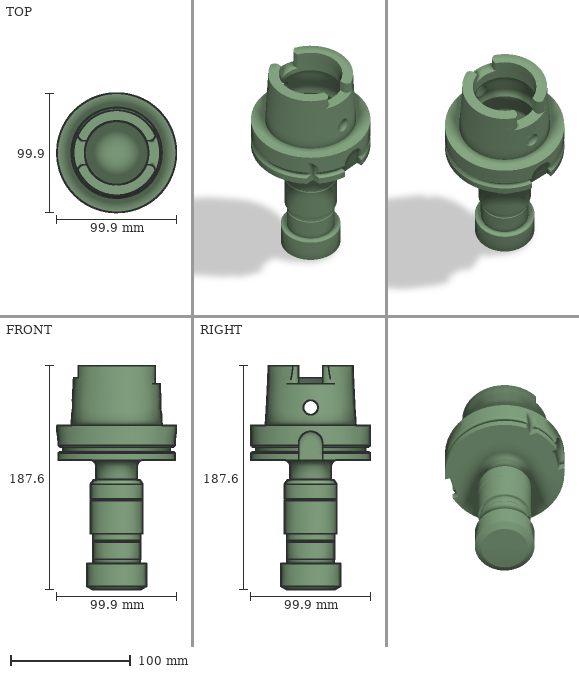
import cadquery as cq
import math


shank_length = 50.0
shank_base_radius = 38.0
shank_taper = 0.05
shank_tip_radius = shank_base_radius - shank_taper * shank_length

mouth_radius = 53.06 / 2
mouth_depth = 19.5
chamber_radius = 63.09 / 2
shoulder_angle = 60.0
floor_radius = 25.0
floor_fillet = 2.0
well_radius = floor_radius + floor_fillet
bore_floor = -12.0
ledge_fillet_top = 9.9
cross_hole_diameter = 12.0
cross_hole_height = 15.0

drive_slot_width = 20.0
drive_slot_corner_radius = 5.0
drive_slot_rim_radius = 36.15
shallow_slot_depth = 10.0
deep_slot_depth = 15.0

flange_radius = 99.93 / 2
flange_thickness = 29.0
groove_radius = 46.0
groove_top = -18.1
groove_bottom = -22.0
groove_upper_chamfer_height = 1.6
groove_lower_chamfer_height = 1.1
groove_chamfer_width = 1.6

keyway_width = 20.0
keyway_top = -5.0
keyway_floor = 44.0
notch_floor = 31.9
notch_center_y = 41.2

neck_radius = 34.6 / 2
neck_fillet = 5.0
neck_bottom = -45.0
undercut_radius = 33.92 / 2
collar_radius = 44.0 / 2
collar_top = -45.6
collar_chamfer_width = 2.5
collar_chamfer_height = 3.6
collar_groove_top = -61.4
collar_groove_width = 1.7
collar_groove_depth = 0.8
collar_bottom = -90.4
sleeve_radius = 40.39 / 2
sleeve_bottom = -96.6
sleeve_chamfer = 0.5
pilot_radius = 40.01 / 2
pilot_top = -97.5
pilot_bottom = -111.9
relief_radius = 39.88 / 2

nut_radius = 25.0
nut_top = -115.1
nut_edge_chamfer = 0.4
nut_nose_height = 3.1
nut_nose_radius = 19.5
nut_bottom = -137.6


def revolve_profile(points):
    """Revolve a closed (radius, z) outline about the Z axis."""
    return cq.Workplane("XZ").polyline(points).close().revolve(360, (0, 0, 0), (0, 1, 0))


def make_shank():
    return revolve_profile([
        (0, -flange_thickness),
        (shank_base_radius, -flange_thickness),
        (shank_base_radius, 0),
        (shank_tip_radius, shank_length),
        (0, shank_length),
    ])


def make_flange():
    lip_radius = flange_radius - groove_chamfer_width
    return revolve_profile([
        (0, 0),
        (flange_radius, 0),
        (flange_radius, groove_top + groove_upper_chamfer_height),
        (lip_radius, groove_top),
        (groove_radius, groove_top),
        (groove_radius, groove_bottom),
        (lip_radius, groove_bottom),
        (flange_radius, groove_bottom - groove_lower_chamfer_height),
        (flange_radius, -flange_thickness),
        (0, -flange_thickness),
    ])


def make_stem():
    fillet_end = -flange_thickness - neck_fillet
    fillet_center = (neck_radius + neck_fillet, fillet_end)
    fillet_offset = neck_fillet * math.sqrt(0.5)
    fillet_middle = (fillet_center[0] - fillet_offset, fillet_center[1] + fillet_offset)
    outline = (
        cq.Workplane("XZ")
        .moveTo(0, -flange_thickness)
        .lineTo(neck_radius + neck_fillet, -flange_thickness)
        .threePointArc(fillet_middle, (neck_radius, fillet_end))
        .lineTo(neck_radius, neck_bottom)
        .lineTo(undercut_radius, neck_bottom)
        .lineTo(undercut_radius, collar_top)
        .lineTo(collar_radius - collar_chamfer_width, collar_top)
        .lineTo(collar_radius, collar_top - collar_chamfer_height)
        .lineTo(collar_radius, collar_groove_top)
        .lineTo(collar_radius - collar_groove_depth, collar_groove_top - collar_groove_width / 2)
        .lineTo(collar_radius, collar_groove_top - collar_groove_width)
        .lineTo(collar_radius, collar_bottom)
        .lineTo(sleeve_radius, collar_bottom)
        .lineTo(sleeve_radius, sleeve_bottom + sleeve_chamfer)
        .lineTo(sleeve_radius - sleeve_chamfer, sleeve_bottom)
        .lineTo(undercut_radius, sleeve_bottom)
        .lineTo(undercut_radius, pilot_top)
        .lineTo(pilot_radius, pilot_top)
        .lineTo(pilot_radius, pilot_bottom)
        .lineTo(relief_radius, pilot_bottom)
        .lineTo(relief_radius, nut_top)
        .lineTo(0, nut_top)
        .close()
    )
    return outline.revolve(360, (0, 0, 0), (0, 1, 0))


def make_nut():
    return revolve_profile([
        (0, nut_top),
        (nut_radius - nut_edge_chamfer, nut_top),
        (nut_radius, nut_top - nut_edge_chamfer),
        (nut_radius, nut_bottom + nut_nose_height),
        (nut_nose_radius, nut_bottom),
        (0, nut_bottom),
    ])


def fillet_middle(center_radius, center_z, radius):
    """Middle point of a quarter arc that turns from a bore wall inward and down to a flat."""
    offset = radius * math.sqrt(0.5)
    return (center_radius + offset, center_z - offset)


def make_bore():
    shoulder_top = shank_length - mouth_depth
    shoulder_height = (chamber_radius - mouth_radius) / math.tan(math.radians(shoulder_angle))
    ledge_fillet = chamber_radius - well_radius
    outline = (
        cq.Workplane("XZ")
        .moveTo(0, shank_length)
        .lineTo(mouth_radius, shank_length)
        .lineTo(mouth_radius, shoulder_top)
        .lineTo(chamber_radius, shoulder_top - shoulder_height)
        .lineTo(chamber_radius, ledge_fillet_top)
        .threePointArc(
            fillet_middle(well_radius, ledge_fillet_top, ledge_fillet),
            (well_radius, ledge_fillet_top - ledge_fillet),
        )
        .lineTo(well_radius, bore_floor + floor_fillet)
        .threePointArc(
            fillet_middle(floor_radius, bore_floor + floor_fillet, floor_fillet),
            (floor_radius, bore_floor),
        )
        .lineTo(0, bore_floor)
        .close()
    )
    return outline.revolve(360, (0, 0, 0), (0, 1, 0))


def make_cross_hole():
    half_length = flange_radius
    hole = cq.Workplane("YZ").workplane(offset=-half_length).center(0, cross_hole_height)
    return hole.circle(cross_hole_diameter / 2).extrude(2 * half_length)


def make_drive_slot(side, depth):
    """Rim slot on the +X (side = 1) or -X (side = -1) side, flaring outward round its corners."""
    half_width = drive_slot_width / 2
    corner = drive_slot_corner_radius
    center_y = half_width + corner
    center_x = math.sqrt((drive_slot_rim_radius - corner) ** 2 - center_y ** 2)
    end_angle = math.atan2(center_y, center_x)
    middle_angle = (end_angle - math.pi / 2) / 2
    middle_x = side * (center_x + corner * math.cos(middle_angle))
    middle_y = center_y + corner * math.sin(middle_angle)
    end_x = side * (center_x + corner * math.cos(end_angle))
    end_y = center_y + corner * math.sin(end_angle)
    runout = shank_tip_radius / 2
    tip_x = end_x - side * runout * math.sin(end_angle)
    tip_y = end_y + runout * math.cos(end_angle)
    outside = side * flange_radius
    slot = (
        cq.Workplane("XY")
        .workplane(offset=shank_length - depth)
        .moveTo(0, half_width)
        .lineTo(side * center_x, half_width)
        .threePointArc((middle_x, middle_y), (end_x, end_y))
        .lineTo(tip_x, tip_y)
        .lineTo(outside, tip_y)
        .lineTo(outside, -tip_y)
        .lineTo(tip_x, -tip_y)
        .lineTo(end_x, -end_y)
        .threePointArc((middle_x, -middle_y), (side * center_x, -half_width))
        .lineTo(0, -half_width)
        .close()
    )
    return slot.extrude(depth)


def make_keyway(side, center_y, floor_x):
    """Round-topped keyway, open at the flange underside, cut along X down to a flat floor."""
    radius = keyway_width / 2
    arc_z = keyway_top - radius
    outline = (
        cq.Workplane("YZ")
        .workplane(offset=side * floor_x)
        .moveTo(center_y - radius, -flange_thickness)
        .lineTo(center_y - radius, arc_z)
        .threePointArc((center_y, keyway_top), (center_y + radius, arc_z))
        .lineTo(center_y + radius, -flange_thickness)
        .close()
    )
    return outline.extrude(side * flange_radius)


result = make_shank().union(make_flange()).union(make_stem()).union(make_nut())
result = result.cut(make_bore()).cut(make_cross_hole())
result = result.cut(make_drive_slot(-1, shallow_slot_depth)).cut(make_drive_slot(1, deep_slot_depth))
for side in (-1, 1):
    result = result.cut(make_keyway(side, 0, keyway_floor))
result = result.cut(make_keyway(-1, notch_center_y, notch_floor))